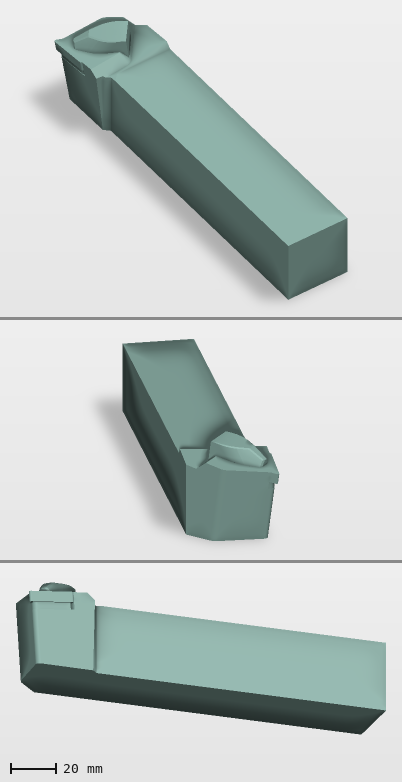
import cadquery as cq
import math

length = 170.0
shank_size = 32.0
total_width = 39.0
shank_front = total_width - shank_size
head_end = 34.0
reach = 68.0

tilt = 0.105

head_front = 0.7
tip_corner = (1.5, head_front)
side_corner = (2.5, 25.0)
chamfer_run = 20.4
tip_radius = 1.9
side_radius = 4.2

platform_drop = 4.6
seat_corner = (27.5, 16.5)
clamp_angle = 50.5

front_end = (30.8, -1.7)
bend_end = (31.5, 4.5)

insert_side = 22.0
insert_thickness = 4.8
nose_radius = 0.8
shim_thickness = 3.2
shim_radius = 2.2
shim_setback = 0.2

clamp_tail = (24.1, 24.0)
clamp_height = 6.5
clamp_nose = 24.5
clamp_edge = 0.5
nose_chamfer = 0.7
tail_half_width = 6.8
clamp_base_side = [(0, tail_half_width), (9.2, 7.3), (13.6, 7.1), (17.3, 6.1), (30.0, 0.8)]
clamp_top_side = [(0, tail_half_width), (2.5, 7.0), (7.8, 6.8), (11.9, 5.5), (17.0, 2.4)]
tail_round_length = 5.1
tail_round_drop = 0.7
tail_foot_length = 4.2


def on_seat(body):
    """Move a body built with the seat as its XY plane to its place on the holder."""
    seat = cq.Plane(origin=(0, 0, shank_size), xDir=(1, 0, tilt), normal=(-tilt, -tilt, 1))
    return cq.Workplane(body.val().moved(cq.Location(seat)))


def slab(points, top, bottom):
    """Prism over a closed outline between two heights."""
    return cq.Workplane("XY").workplane(offset=bottom).polyline(points).close().extrude(top - bottom)


def rounded_triangle(radius, top, bottom):
    """Equilateral triangle with rounded corners; the insert outline touches X = 0 and Y = 0."""
    left = -(math.sqrt(3) - 1) * nose_radius
    apex = (left + insert_side / 2, insert_side * math.sqrt(3) / 2)
    body = slab([(left, 0), (left + insert_side, 0), apex], top, bottom)
    if radius:
        body = body.edges("|Z").fillet(radius)
    return body


def head_block():
    """Head outline, square to the seat, with its two outer corners rounded."""
    back = side_corner[1] + chamfer_run
    outline = [
        tip_corner,
        (reach, head_front),
        (reach, back),
        (side_corner[0] + chamfer_run, back),
        side_corner,
    ]
    block = slab(outline, 0, -reach)
    for corner, radius in ((tip_corner, tip_radius), (side_corner, side_radius)):
        middle = (*corner, -reach / 2)
        block = block.edges(cq.selectors.NearestToPointSelector(middle)).fillet(radius)
    return block


def raised_seat():
    """Seat above the platform: flat top, bevel on the shank side, ramp on the back, cone between."""
    corner_x, corner_y = seat_corner
    angle = math.radians(clamp_angle)
    ramp_end = (corner_x - reach * math.sin(angle), corner_y + reach * math.cos(angle))
    top = slab([(-reach, -reach), (corner_x, -reach), seat_corner, ramp_end], 0, -platform_drop)
    profile = [(0, 0), (0, -platform_drop), (platform_drop, -platform_drop)]
    bevel = cq.Workplane("XZ").polyline(profile).close().extrude(reach)
    ramp = cq.Workplane("XZ").polyline(profile).close().extrude(-reach).rotate((0, 0, 0), (0, 0, 1), clamp_angle)
    cone = cq.Workplane(cq.Solid.makeCone(platform_drop, 0, platform_drop, cq.Vector(0, 0, -platform_drop)))
    slopes = bevel.union(ramp).union(cone)
    return top.union(slopes.translate((corner_x, corner_y, 0)))


def above_platform():
    """Everything that lies over the platform."""
    block = cq.Workplane("XY").box(2 * reach, 2 * reach, reach, centered=(True, True, False))
    return block.translate((0, 0, -platform_drop))


def head_limits():
    """Space the head may fill: flat bottom and back, bent end, 45 degree break to the shank top."""
    end_outline = [
        (-reach, front_end[1]),
        front_end,
        bend_end,
        (head_end, shank_front),
        (head_end, total_width),
        (-reach, total_width),
    ]
    limits = slab(end_outline, reach, 0)
    break_outline = [
        (-reach, 0),
        (head_end, 0),
        (head_end, shank_size),
        (head_end - reach, shank_size + reach),
    ]
    breaks = cq.Workplane("XZ").polyline(break_outline).close().extrude(reach, both=True)
    return limits.intersect(breaks)


def clamp_outline(half_outline, height):
    """Closed outline: straight tail sides, rounded shoulders, straight taper to the nose."""
    tail, arc_start, arc_middle, arc_end, nose = half_outline

    def other(point):
        return (point[0], -point[1])

    return (
        cq.Workplane("XY")
        .workplane(offset=height)
        .moveTo(*tail)
        .lineTo(*arc_start)
        .threePointArc(arc_middle, arc_end)
        .lineTo(*nose)
        .lineTo(*other(nose))
        .lineTo(*other(arc_end))
        .threePointArc(other(arc_middle), other(arc_start))
        .lineTo(*other(tail))
        .close()
        .val()
    )


def clamp():
    """Clamp finger: wide tail on the ramp, sides flaring downwards, sloping tip, blunt nose."""
    base = clamp_outline(clamp_base_side, 0)
    top = clamp_outline(clamp_top_side, clamp_height)
    finger = cq.Workplane(cq.Solid.makeLoft([base, top], True))
    finger = finger.faces(">Z or >X").edges("not |Y").chamfer(clamp_edge)
    tail_top = clamp_height - tail_round_drop
    round_controls = [(tail_round_length * step, clamp_height) for step in (0.5, 1)]
    profile = (
        cq.Workplane("XZ", origin=(0, reach / 2, 0))
        .lineTo(0, tail_top)
        .bezier([*round_controls, (clamp_nose, clamp_height)], includeCurrent=True)
        .lineTo(clamp_nose, 0)
        .close()
        .extrude(reach)
    )
    foot = cq.Workplane("XY").box(
        tail_foot_length, 2 * tail_half_width, platform_drop, centered=(False, True, False)
    )
    finger = finger.intersect(profile)
    finger = finger.faces(">X").edges("(not |Y) and (>Y or <Y)").chamfer(nose_chamfer)
    body = finger.union(foot.translate((0, 0, -platform_drop)))
    return body.rotate((0, 0, 0), (0, 0, 1), 180 + clamp_angle).translate((*clamp_tail, 0))


def make_insert():
    """Triangular cutting insert, lying in the seat."""
    return on_seat(rounded_triangle(nose_radius, 0, -insert_thickness))


def make_holder():
    """Shank and head with the shim and the clamp."""
    shank = (
        cq.Workplane("XY")
        .box(length - head_end, shank_size, shank_size, centered=False)
        .translate((head_end, shank_front, 0))
    )
    block = head_block()
    pocket_floor = -insert_thickness - shim_thickness
    shim_trim = block.translate((shim_setback, shim_setback, 0))
    shim = rounded_triangle(shim_radius, -insert_thickness, pocket_floor).intersect(shim_trim)
    pocket = rounded_triangle(0, 0, pocket_floor)

    head = block.cut(above_platform()).union(block.intersect(raised_seat()))
    head = on_seat(head.cut(pocket).union(shim)).intersect(head_limits())
    shank = shank.cut(on_seat(above_platform()))
    return shank.union(head).union(on_seat(clamp()))


insert = make_insert()
holder = make_holder()
result = cq.Compound.makeCompound([holder.val(), insert.val()])